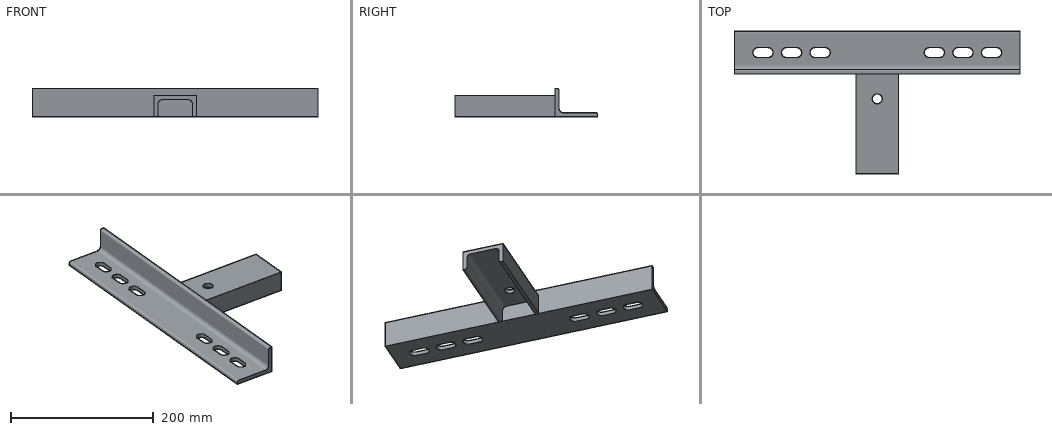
import cadquery as cq

bar_length = 400.0
base_leg = 60.0
upright_leg = 40.0
angle_thickness = 6.0
root_radius = 6.0
toe_radius = 3.0

slot_length = 28.0
slot_width = 13.5
slot_pitch = 40.0
slots_per_side = 3
inner_slot_x = 80.0
slot_y = 30.0

arm_length = 140.0
arm_width = 60.0
arm_height = 30.0
arm_thickness = 6.0
arm_root_radius = 6.0
arm_toe_radius = 3.0
arm_hole_diameter = 13.5
arm_hole_y = -35.0


def make_angle_bar():
    """L-section with a rounded root and rounded inner toes, slotted in the base leg."""
    profile = (
        cq.Workplane("YZ", origin=(-bar_length / 2, 0, 0))
        .polyline([
            (0, 0),
            (base_leg, 0),
            (base_leg, angle_thickness),
            (angle_thickness, angle_thickness),
            (angle_thickness, upright_leg),
            (0, upright_leg),
        ])
        .close()
    )
    bar = profile.extrude(bar_length)
    root = cq.selectors.NearestToPointSelector((0, angle_thickness, angle_thickness))
    base_toe = cq.selectors.NearestToPointSelector((0, base_leg, angle_thickness))
    upright_toe = cq.selectors.NearestToPointSelector((0, angle_thickness, upright_leg))
    bar = bar.edges(root).fillet(root_radius)
    bar = bar.edges(base_toe).fillet(toe_radius)
    bar = bar.edges(upright_toe).fillet(toe_radius)

    slot_centers = [
        (side * (inner_slot_x + index * slot_pitch), slot_y)
        for side in (-1, 1)
        for index in range(slots_per_side)
    ]
    slots = (
        cq.Workplane("XY")
        .pushPoints(slot_centers)
        .slot2D(slot_length, slot_width)
        .extrude(angle_thickness)
    )
    return bar.cut(slots)


def make_channel_arm():
    """U-section with rounded inner corners and toes, and one hole through the web."""
    inner_half = arm_width / 2 - arm_thickness
    web_underside = arm_height - arm_thickness
    arm = (
        cq.Workplane("XY")
        .box(arm_width, arm_length, arm_height, centered=(True, False, False))
        .translate((0, -arm_length, 0))
    )
    cavity = (
        cq.Workplane("XY")
        .box(2 * inner_half, arm_length, web_underside, centered=(True, False, False))
        .translate((0, -arm_length, 0))
        .edges("|Y and >Z")
        .fillet(arm_root_radius)
    )
    arm = arm.cut(cavity)
    for side in (-1, 1):
        toe_point = (side * inner_half, -arm_length / 2, 0)
        toe = cq.selectors.NearestToPointSelector(toe_point)
        arm = arm.edges(toe).fillet(arm_toe_radius)

    hole = (
        cq.Workplane("XY", origin=(0, arm_hole_y, web_underside))
        .circle(arm_hole_diameter / 2)
        .extrude(arm_thickness)
    )
    return arm.cut(hole)


angle_bar = make_angle_bar()
channel_arm = make_channel_arm()

result = cq.Compound.makeCompound([angle_bar.val(), channel_arm.val()])